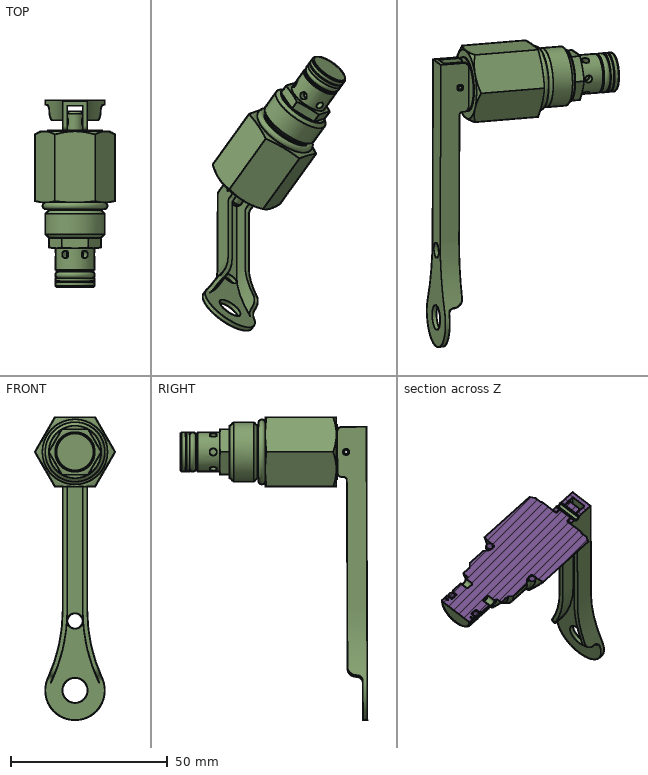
import cadquery as cq
import math


HEX_ACROSS_CORNERS = 25.6
HEX_ACROSS_FLATS = HEX_ACROSS_CORNERS * math.cos(math.radians(30))
HEX_BACK_CHAMFER = 1.0
HEX_FRONT_CHAMFER = 0.4
SEAT_DIA = 17.4
NECK_DIA = 16.7
BARREL_DIA = 19.1
BARREL_CHAMFER = (BARREL_DIA - NECK_DIA) / 2
SMALL_HEX_CHAMFER = 0.2
NOSE_DIA = 12.6
NOSE_STEP_DIA = 12.0
NOSE_CHAMFER = 0.4
SMALL_GROOVE_DIA = 9.9

SEAT_DEPTH = 9.7
HEX_START = 10.0
HEX_END = 32.6
BARREL_START = 35.1
BARREL_END = 43.9
SMALL_HEX_START = 44.1
SMALL_HEX_END = 47.2
NOSE_STEP = 54.2
RING_GROOVE_START = 54.6
RING_GROOVE_END = 56.8
SMALL_GROOVE_START = 57.7
SMALL_GROOVE_END = 58.0
NOSE_END = 59.7

PORT_DIA = 2.3
PORT_COUNT = 6
PORT_DEPTH = 2.9
PORT_POSITION = 49.2

PLUNGER_DIA = 4.7
PLUNGER_TIP_DIA = 4.1
PLUNGER_START = 3.5
PLUNGER_TAPER_LENGTH = 0.9
PLUNGER_HOLE_DIA = 2.2

LARGE_RING_SECTION = 2.2
LARGE_RING_OUTER_DIA = 20.8
LARGE_RING_INNER_DIA = LARGE_RING_OUTER_DIA - 2 * LARGE_RING_SECTION
SMALL_RING_SECTION = 2.0
SMALL_RING_OUTER_DIA = 12.7
SMALL_RING_INNER_DIA = SMALL_RING_OUTER_DIA - 2 * SMALL_RING_SECTION

LEVER_WIDTH = 7.9
CHANNEL_WIDTH = 4.9
LEVER_WALL = (LEVER_WIDTH - CHANNEL_WIDTH) / 2
LEVER_DEPTH = 6.4
HEAD_HALF_HEIGHT = 8.0
HEAD_CORNER_RADIUS = 1.45
HEAD_INNER_RADIUS = 1.0
EYE_DIA = 19.1
EYE_HOLE_DIA = 7.9
FLARE_START_Z = -50.7
SMALL_HOLE_DIA = 4.8
SMALL_HOLE_Z = -54.0
FLANGE_END_OUTER_RADIUS = 2.9
FLANGE_END_INNER_RADIUS = LEVER_DEPTH - LEVER_WALL - FLANGE_END_OUTER_RADIUS
FLANGE_OVERRUN = 1.0

LEVER_TILT = 0.18
PIN_TO_BACK = 6.6
OVERALL_HEIGHT = 96.7
TILT_SIN = math.sin(math.radians(LEVER_TILT))
TILT_COS = math.cos(math.radians(LEVER_TILT))
FOOT_DROP = OVERALL_HEIGHT - HEX_ACROSS_FLATS / 2
LEVER_BOTTOM_Z = -(FOOT_DROP + (PIN_TO_BACK - LEVER_WALL) * TILT_SIN) / TILT_COS
EYE_Z = LEVER_BOTTOM_Z + EYE_DIA / 2
PIN_DEPTH = PIN_TO_BACK * TILT_COS - LEVER_BOTTOM_Z * TILT_SIN
LEVER_SHIFT = PIN_DEPTH - PIN_TO_BACK
HEAD_DEPTH = SEAT_DEPTH - LEVER_SHIFT - HEAD_HALF_HEIGHT * TILT_SIN

PIN_DIA = 2.0
PIN_BORE_DIA = 1.2
PIN_END_CHAMFER = 0.2

EYE_RADIUS = EYE_DIA / 2
HALF_WIDTH = LEVER_WIDTH / 2
FLARE_DROP = FLARE_START_Z - EYE_Z
FLARE_RADIUS = (HALF_WIDTH**2 + FLARE_DROP**2 - EYE_RADIUS**2) / (2 * (EYE_RADIUS - HALF_WIDTH))
FLARE_CENTER_X = HALF_WIDTH + FLARE_RADIUS
FLARE_ANGLE = math.atan2(FLARE_DROP, FLARE_CENTER_X)


def revolve_y(points):
    """Solid of revolution about the valve axis from (radius, depth) points."""
    outline = [(radius, -depth) for radius, depth in points]
    return cq.Workplane("XY").polyline(outline).close().revolve(360, (0, 0, 0), (0, 1, 0))


def cylinder_x(diameter, length):
    """Cylinder on the cross-pin axis, centred on X = 0."""
    return cq.Workplane("YZ").center(-PIN_DEPTH, 0).circle(diameter / 2).extrude(length / 2, both=True)


def hex_prism(across_corners, start, end, back_chamfer, front_chamfer):
    """Hexagon with corners on X, its ends turned down to the inscribed circle."""
    corner_radius = across_corners / 2
    flat_radius = corner_radius * math.cos(math.radians(30))
    prism = cq.Workplane("XZ").workplane(offset=start).polygon(6, across_corners).extrude(end - start)
    clear_radius = flat_radius + 2 * (corner_radius - flat_radius)
    envelope = [
        (0, start),
        (flat_radius, start),
        (clear_radius, start + 2 * back_chamfer),
        (clear_radius, end - 2 * front_chamfer),
        (flat_radius, end),
        (0, end),
    ]
    return prism.intersect(revolve_y(envelope))


def make_turned_core():
    """Seat, neck, barrel and nose as one turned profile."""
    large_ring_seat_radius = LARGE_RING_INNER_DIA / 2
    large_ring_end = HEX_END + LARGE_RING_SECTION
    nose_radius = NOSE_DIA / 2
    ring_groove_radius = SMALL_RING_INNER_DIA / 2
    small_groove_radius = SMALL_GROOVE_DIA / 2
    return revolve_y([
        (0, SEAT_DEPTH),
        (SEAT_DIA / 2, SEAT_DEPTH),
        (SEAT_DIA / 2, HEX_END),
        (large_ring_seat_radius, HEX_END),
        (large_ring_seat_radius, large_ring_end),
        (NECK_DIA / 2, large_ring_end),
        (NECK_DIA / 2, BARREL_START),
        (BARREL_DIA / 2, BARREL_START + BARREL_CHAMFER),
        (BARREL_DIA / 2, BARREL_END - BARREL_CHAMFER),
        (NECK_DIA / 2, BARREL_END),
        (NECK_DIA / 2, SMALL_HEX_START),
        (nose_radius, SMALL_HEX_START),
        (nose_radius, NOSE_STEP),
        (NOSE_STEP_DIA / 2, NOSE_STEP),
        (NOSE_STEP_DIA / 2, RING_GROOVE_START),
        (ring_groove_radius, RING_GROOVE_START),
        (ring_groove_radius, RING_GROOVE_END),
        (nose_radius, RING_GROOVE_END),
        (nose_radius, SMALL_GROOVE_START),
        (small_groove_radius, SMALL_GROOVE_START),
        (small_groove_radius, SMALL_GROOVE_END),
        (nose_radius, SMALL_GROOVE_END),
        (nose_radius, NOSE_END - NOSE_CHAMFER),
        (nose_radius - NOSE_CHAMFER, NOSE_END),
        (0, NOSE_END),
    ])


def make_plunger():
    """Stem with a tapered tip and a cross hole for the pin."""
    stem = revolve_y([
        (0, PLUNGER_START),
        (PLUNGER_TIP_DIA / 2, PLUNGER_START),
        (PLUNGER_DIA / 2, PLUNGER_START + PLUNGER_TAPER_LENGTH),
        (PLUNGER_DIA / 2, SEAT_DEPTH),
        (0, SEAT_DEPTH),
    ])
    return stem.cut(cylinder_x(PLUNGER_HOLE_DIA, LEVER_WIDTH))


def make_ports():
    """Blind radial ports evenly spaced around the nose, the first on +X."""
    nose_radius = NOSE_DIA / 2
    port = (
        cq.Workplane("YZ", origin=(nose_radius - PORT_DEPTH, -PORT_POSITION, 0))
        .circle(PORT_DIA / 2)
        .extrude(nose_radius)
    )
    ports = cq.Workplane("XY")
    for index in range(PORT_COUNT):
        ports = ports.add(port.rotate((0, 0, 0), (0, 1, 0), index * 360 / PORT_COUNT))
    return ports.combine()


def make_valve():
    main_hex = hex_prism(HEX_ACROSS_CORNERS, HEX_START, HEX_END, HEX_BACK_CHAMFER, HEX_FRONT_CHAMFER)
    small_hex = hex_prism(NECK_DIA, SMALL_HEX_START, SMALL_HEX_END, 0, SMALL_HEX_CHAMFER)
    valve = make_turned_core().union(main_hex).union(small_hex).union(make_plunger())
    return valve.cut(make_ports())


def make_ring(inner_dia, section, depth):
    """Round-section sealing ring centred at the given depth."""
    center_radius = (inner_dia + section) / 2
    return (
        cq.Workplane("XY")
        .center(center_radius, -depth)
        .circle(section / 2)
        .revolve(360, (-center_radius, 0, 0), (-center_radius, 1, 0))
    )


def flare_point(radius, angle):
    """Point on an arc about the right-hand flare centre, angle measured below horizontal."""
    return (FLARE_CENTER_X - radius * math.cos(angle), FLARE_START_Z - radius * math.sin(angle))


def mirrored(point):
    return (-point[0], point[1])


def make_lever_blank():
    """Front outline of the lever, solid to the full depth of the head."""
    tangent = flare_point(FLARE_RADIUS, FLARE_ANGLE)
    middle = flare_point(FLARE_RADIUS, FLARE_ANGLE / 2)
    return (
        cq.Workplane("XZ")
        .moveTo(-HALF_WIDTH, HEAD_HALF_HEIGHT)
        .lineTo(HALF_WIDTH, HEAD_HALF_HEIGHT)
        .lineTo(HALF_WIDTH, FLARE_START_Z)
        .threePointArc(middle, tangent)
        .threePointArc((0, LEVER_BOTTOM_Z), mirrored(tangent))
        .threePointArc(mirrored(middle), (-HALF_WIDTH, FLARE_START_Z))
        .close()
        .extrude(HEAD_DEPTH)
    )


def make_side_profile():
    """Side outline: a deep rounded head above the shallower arm."""
    profile = (
        cq.Workplane("YZ")
        .polyline([
            (0, HEAD_HALF_HEIGHT),
            (-HEAD_DEPTH, HEAD_HALF_HEIGHT),
            (-HEAD_DEPTH, -HEAD_HALF_HEIGHT),
            (-LEVER_DEPTH, -HEAD_HALF_HEIGHT),
            (-LEVER_DEPTH, LEVER_BOTTOM_Z),
            (0, LEVER_BOTTOM_Z),
        ])
        .close()
        .extrude(EYE_DIA, both=True)
    )
    profile = profile.edges("|X").edges("<Y").fillet(HEAD_CORNER_RADIUS)
    inner_corner = cq.selectors.NearestToPointSelector((0, -LEVER_DEPTH, -HEAD_HALF_HEIGHT))
    return profile.edges("|X").edges(inner_corner).fillet(HEAD_INNER_RADIUS)


def make_channel():
    """Space between the flanges, open at the top and widening over the eye."""
    half_gap = CHANNEL_WIDTH / 2
    inner_radius = FLARE_RADIUS + LEVER_WALL
    bottom_angle = math.asin((FLARE_DROP + EYE_RADIUS) / inner_radius)
    bottom = flare_point(inner_radius, bottom_angle)
    middle = flare_point(inner_radius, bottom_angle / 2)
    return (
        cq.Workplane("XZ", origin=(0, -LEVER_WALL, 0))
        .moveTo(-half_gap, HEAD_HALF_HEIGHT)
        .lineTo(half_gap, HEAD_HALF_HEIGHT)
        .lineTo(half_gap, FLARE_START_Z)
        .threePointArc(middle, bottom)
        .lineTo(*mirrored(bottom))
        .threePointArc(mirrored(middle), (-half_gap, FLARE_START_Z))
        .close()
        .extrude(HEAD_DEPTH)
    )


def make_flange_end_cutter():
    """Removes the right flange past an S-shaped end, square to the flange direction."""
    outer = FLANGE_END_OUTER_RADIUS
    inner = FLANGE_END_INNER_RADIUS
    foot = -FLANGE_OVERRUN
    step = foot + inner
    diagonal = math.sqrt(0.5)
    cutter = (
        cq.Workplane("YZ")
        .moveTo(-LEVER_DEPTH, step + outer)
        .threePointArc(
            (-LEVER_DEPTH + outer * (1 - diagonal), step + outer * (1 - diagonal)),
            (-LEVER_DEPTH + outer, step),
        )
        .threePointArc(
            (-LEVER_WALL - inner * (1 - diagonal), step - inner * (1 - diagonal)),
            (-LEVER_WALL, foot),
        )
        .lineTo(-LEVER_WALL, foot - EYE_DIA)
        .lineTo(-LEVER_DEPTH, foot - EYE_DIA)
        .close()
        .extrude(EYE_RADIUS / 2, both=True)
    )
    tangent_x, tangent_z = flare_point(FLARE_RADIUS, FLARE_ANGLE)
    cutter = cutter.rotate((0, 0, 0), (0, 1, 0), -math.degrees(FLARE_ANGLE))
    return cutter.translate((tangent_x, 0, tangent_z))


def make_lever():
    lever = make_lever_blank().intersect(make_side_profile()).cut(make_channel())
    end_cutter = make_flange_end_cutter()
    lever = lever.cut(end_cutter).cut(end_cutter.mirror("YZ"))
    for diameter, z in ((SMALL_HOLE_DIA, SMALL_HOLE_Z), (EYE_HOLE_DIA, EYE_Z)):
        hole = cq.Workplane("XZ").center(0, z).circle(diameter / 2).extrude(LEVER_WALL)
        lever = lever.cut(hole)
    pivot = (0, -PIN_TO_BACK, 0)
    lever = lever.rotate(pivot, (1, -PIN_TO_BACK, 0), LEVER_TILT)
    lever = lever.translate((0, -LEVER_SHIFT, 0))
    return lever.cut(cylinder_x(PIN_DIA, LEVER_WIDTH))


def make_pin():
    """Hollow cross pin with chamfered ends, flush with the outsides of the lever."""
    pin = cylinder_x(PIN_DIA, LEVER_WIDTH).faces("<X or >X").chamfer(PIN_END_CHAMFER)
    return pin.cut(cylinder_x(PIN_BORE_DIA, LEVER_WIDTH))


valve = make_valve()
large_ring = make_ring(LARGE_RING_INNER_DIA, LARGE_RING_SECTION, HEX_END + LARGE_RING_SECTION / 2)
small_ring = make_ring(SMALL_RING_INNER_DIA, SMALL_RING_SECTION, RING_GROOVE_END - SMALL_RING_SECTION / 2)
lever = make_lever()
pin = make_pin()

result = cq.Compound.makeCompound([
    valve.solids().val(),
    large_ring.solids().val(),
    small_ring.solids().val(),
    lever.solids().val(),
    pin.solids().val(),
])